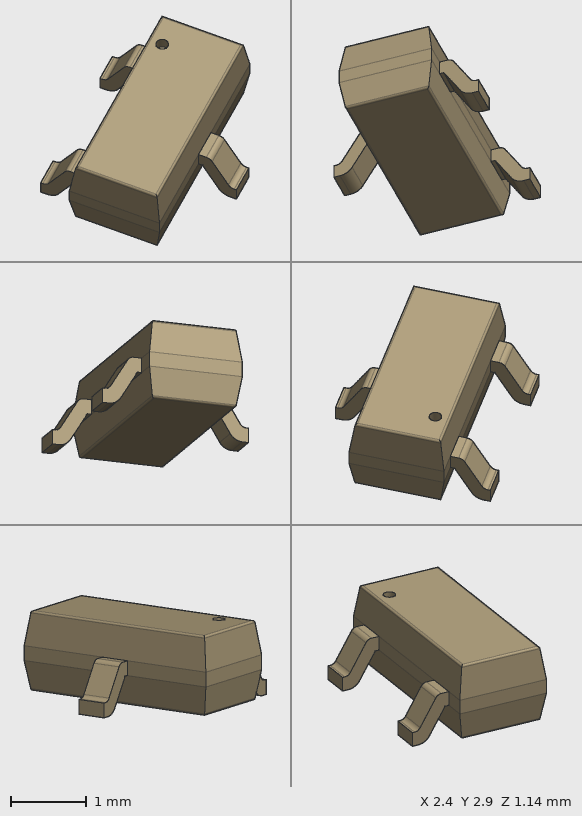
import cadquery as cq
import math

overall_width = 2.4
body_length = 2.9
body_width = 1.305
body_bottom = 0.065
body_top = 1.14

lead_thickness = 0.2
shoulder_top = 0.673
shoulder_bottom = shoulder_top - lead_thickness
face_inset = 0.067
body_edge_radius = 0.032

mark_diameter = 0.162
mark_depth = mark_diameter
mark_x = -0.39
mark_y = 0.948

lead_width = 0.4
lead_pitch = 1.902
upper_foot_corner = 0.087
upper_shoulder_corner = 0.38
inner_bend_radius = 0.1
heel_radius = 0.2


def tapered_half(start_height, end_height):
    """Frustum from the full band outline to the inset outer face."""
    rise = end_height - start_height
    draft_angle = math.degrees(math.atan2(face_inset, abs(rise)))
    return (
        cq.Workplane("XY", origin=(0, 0, start_height))
        .rect(body_width, body_length)
        .extrude(rise, taper=draft_angle)
    )


def make_body():
    """Moulded body: a straight band, two tapered halves and a round mark."""
    band = (
        cq.Workplane("XY", origin=(0, 0, shoulder_bottom))
        .rect(body_width, body_length)
        .extrude(lead_thickness)
    )
    upper_half = tapered_half(shoulder_top, body_top).faces(">Z").edges().fillet(body_edge_radius)
    lower_half = tapered_half(shoulder_bottom, body_bottom).faces("<Z").edges().fillet(body_edge_radius)
    mark = (
        cq.Workplane("XY", origin=(mark_x, mark_y, body_top - mark_depth))
        .circle(mark_diameter / 2)
        .extrude(mark_depth)
    )
    return band.union(upper_half).union(lower_half).cut(mark)


def make_lead(side, center_y):
    """Gull-wing lead ending flush on the band; side is -1 for -X or +1 for +X."""
    tip_x = overall_width / 2
    root_x = body_width / 2
    bend_angle = math.atan2(
        shoulder_top - lead_thickness,
        upper_shoulder_corner - upper_foot_corner,
    )
    corner_shift = lead_thickness * math.tan(bend_angle / 2)
    upper_foot = (tip_x - upper_foot_corner, lead_thickness)
    upper_shoulder = (tip_x - upper_shoulder_corner, shoulder_top)
    lower_shoulder = (upper_shoulder[0] - corner_shift, shoulder_bottom)
    lower_heel = (upper_foot[0] - corner_shift, 0)

    outline = [
        (tip_x, 0),
        (tip_x, lead_thickness),
        upper_foot,
        upper_shoulder,
        (root_x, shoulder_top),
        (root_x, shoulder_bottom),
        lower_shoulder,
        lower_heel,
    ]
    lead = (
        cq.Workplane("XZ", origin=(0, lead_width / 2, 0))
        .polyline(outline)
        .close()
        .extrude(lead_width)
    )
    for corners, radius in (
        ((upper_foot, upper_shoulder), inner_bend_radius),
        ((lower_heel,), heel_radius),
    ):
        for x, z in corners:
            bend_edge = cq.selectors.NearestToPointSelector((x, 0, z))
            lead = lead.edges(bend_edge).fillet(radius)
    if side < 0:
        lead = lead.mirror("YZ")
    return lead.translate((0, center_y, 0))


body = make_body()

lead_places = [
    (-1, -lead_pitch / 2),
    (-1, lead_pitch / 2),
    (1, 0),
]
leads = [make_lead(side, center_y) for side, center_y in lead_places]

result = cq.Compound.makeCompound([body.val(), *[lead.val() for lead in leads]])